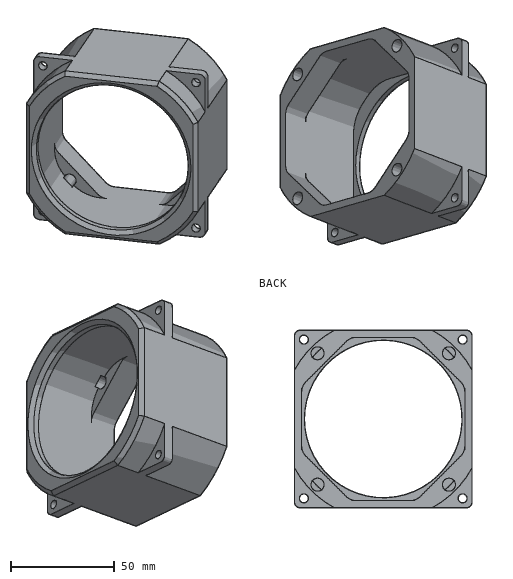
import cadquery as cq
import math

width = 86.0
depth = 55.0
half_width = width / 2
front_y = -depth / 2
back_y = depth / 2
body_corner_radius = 49.0
front_chamfer = 2.0

ear_front_y = -12.5
ear_thickness = 5.0
ear_corner_radius = 3.0
ear_hole_diameter = 4.2
ear_hole_spacing = 76.7

bore_diameter = 76.0
bore_chamfer = 2.0
lip_thickness = 5.0
cavity_front_y = front_y + lip_thickness

wall_thickness = 3.6
cavity_half_width = half_width - wall_thickness
cavity_corner_radius = body_corner_radius - wall_thickness
cavity_fillet_radius = 20.0

block_length = 14.8
blocks_front_y = back_y - block_length
block_face_distance = 39.1
block_fillet_radius = 6.45
screw_hole_diameter = 6.3
screw_hole_distance = 44.9
screw_hole_lead = 2.15


def square_bar(side, start_y, length):
    """Square bar along Y, centred on the main axis."""
    return (
        cq.Workplane("XZ", origin=(0, start_y, 0))
        .rect(side, side)
        .extrude(-length)
    )


def round_bar(radius, start_y, length):
    """Round bar along Y, centred on the main axis."""
    return cq.Workplane("XZ", origin=(0, start_y, 0)).circle(radius).extrude(-length)


def make_body():
    """Square block with its corners rounded about the main axis."""
    square = square_bar(width, front_y, depth)
    body = square.intersect(round_bar(body_corner_radius, front_y, depth))
    return body.faces("<Y").chamfer(front_chamfer)


def make_ears():
    """Square plate whose corners stand out of the body as drilled ears."""
    plate = square_bar(width, ear_front_y, ear_thickness).edges("|Y").fillet(ear_corner_radius)
    return (
        plate.faces("<Y")
        .workplane(centerOption="CenterOfBoundBox")
        .rect(ear_hole_spacing, ear_hole_spacing, forConstruction=True)
        .vertices()
        .hole(ear_hole_diameter)
    )


def make_cavity():
    """Inner space: wide behind the lip, narrowed by corner blocks at the open back."""
    front_length = blocks_front_y - cavity_front_y
    front_part = (
        square_bar(2 * cavity_half_width, cavity_front_y, front_length)
        .intersect(round_bar(cavity_corner_radius, cavity_front_y, front_length))
        .edges("|Y")
        .fillet(cavity_fillet_radius)
    )
    diamond = square_bar(2 * block_face_distance, blocks_front_y, block_length)
    diamond = diamond.rotate((0, 0, 0), (0, 1, 0), 45)
    back_part = (
        square_bar(2 * cavity_half_width, blocks_front_y, block_length)
        .intersect(diamond)
        .edges("|Y")
        .fillet(block_fillet_radius)
    )
    return front_part.union(back_part)


def make_bore():
    """Round opening through the lip, countersunk at the front."""
    bore_radius = bore_diameter / 2
    bore = round_bar(bore_radius, front_y, lip_thickness)
    countersink = cq.Workplane(
        cq.Solid.makeCone(
            bore_radius + bore_chamfer,
            bore_radius,
            bore_chamfer,
            pnt=cq.Vector(0, front_y, 0),
            dir=cq.Vector(0, 1, 0),
        )
    )
    return bore.union(countersink)


def make_screw_holes():
    """Holes along Y through the corner blocks, running out a little into the cavity wall."""
    start_y = blocks_front_y - screw_hole_lead
    spacing = math.sqrt(2) * screw_hole_distance
    return (
        cq.Workplane("XZ", origin=(0, start_y, 0))
        .rect(spacing, spacing, forConstruction=True)
        .vertices()
        .circle(screw_hole_diameter / 2)
        .extrude(start_y - back_y)
    )


result = (
    make_body()
    .union(make_ears())
    .cut(make_cavity())
    .cut(make_bore())
    .cut(make_screw_holes())
)